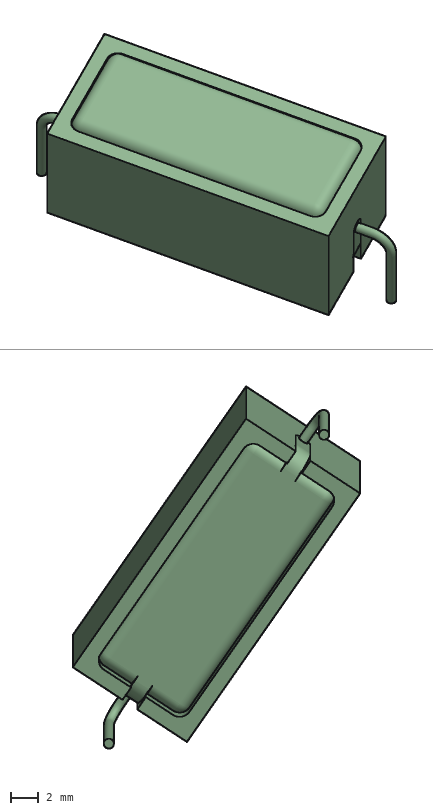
import cadquery as cq

span_x = 28.7
housing_length = 22.5
housing_width = 10.0
housing_height = 9.5

wall = 1.12
core_offset = 0.5
core_radius = 0.85
core_length = housing_length - 2 * wall
core_width = housing_width - 2 * wall

slot_width = 1.3
tongue_radius = 1.64

lead_diameter = 0.75
lead_height = 4.55
lead_drop = 2.6
bend_radius = 1.58
lead_embed = wall
lead_x = (span_x - lead_diameter) / 2
lead_inner_x = housing_length / 2 - lead_embed


def make_slot_bar(bottom):
    """Full-length bar with a round top, centred on the lead axis."""
    half_width = slot_width / 2
    return (
        cq.Workplane("YZ", origin=(-housing_length / 2, 0, 0))
        .moveTo(-half_width, bottom)
        .lineTo(-half_width, lead_height)
        .threePointArc((0, lead_height + half_width), (half_width, lead_height))
        .lineTo(half_width, bottom)
        .close()
        .extrude(housing_length)
    )


def make_lead(side):
    """Bent round wire at the +X end (side = 1) or the -X end (side = -1)."""
    path = (
        cq.Workplane("XZ")
        .moveTo(side * lead_inner_x, lead_height)
        .lineTo(side * (lead_x - bend_radius), lead_height)
        .tangentArcPoint((side * lead_x, lead_height - bend_radius), relative=False)
        .lineTo(side * lead_x, -lead_drop)
    )
    return (
        cq.Workplane("YZ", origin=(side * lead_inner_x, 0, lead_height))
        .circle(lead_diameter / 2)
        .sweep(path)
    )


def make_housing():
    """Rectangular sleeve, open above and below, with a lead slot in each end wall."""
    block = cq.Workplane("XY").rect(housing_length, housing_width).extrude(housing_height)
    cavity = (
        cq.Workplane("XY")
        .rect(core_length, core_width)
        .extrude(housing_height)
        .edges("|Z")
        .fillet(core_radius)
    )
    return block.cut(cavity).cut(make_slot_bar(0))


def make_core(leads):
    """Rounded block with a tongue through each slot and a socket for each lead."""
    block = (
        cq.Workplane("XY", origin=(0, 0, core_offset))
        .rect(core_length, core_width)
        .extrude(housing_height)
        .edges()
        .fillet(core_radius)
    )
    tongues = make_slot_bar(core_offset).edges("|Y and <Z").fillet(tongue_radius)
    core = block.union(tongues)
    for lead in leads:
        core = core.cut(lead)
    return core


leads = [make_lead(side) for side in (-1, 1)]
housing = make_housing()
core = make_core(leads)

result = cq.Compound.makeCompound(
    [housing.solids().val(), core.solids().val(), *[lead.val() for lead in leads]]
)